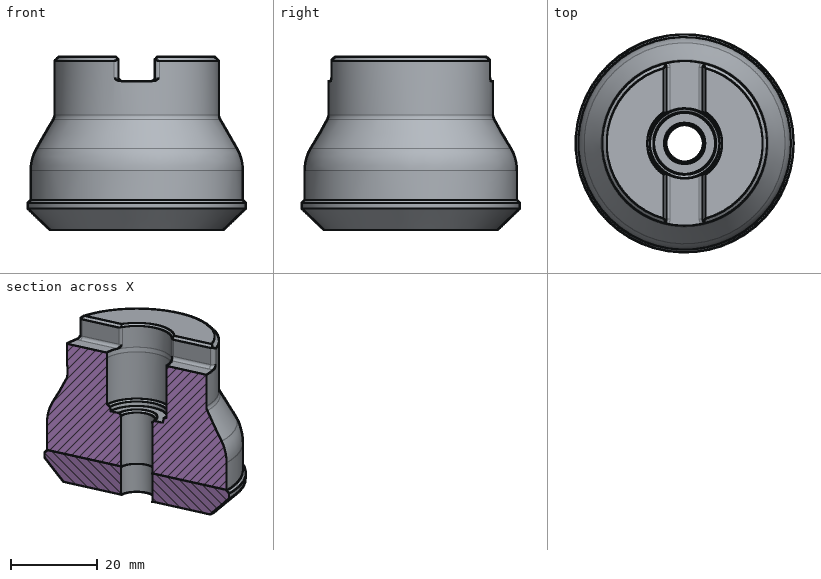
import cadquery as cq
import math

height = 40.0
rim_bottom = 5.0
rim_top = 6.3

rim_radius = 25.15
base_radius = 20.0
body_radius = 49.0 / 2
neck_radius = 38.0 / 2

rim_chamfer = rim_radius - body_radius
shoulder_start = 13.8
shoulder_round = 10.0
cone_angle = math.radians(30)
neck_round = 2.0
top_chamfer = 1.0

slot_width = 8.3
slot_depth = 5.65
slot_floor = height - slot_depth
slot_chamfer = 0.7
slot_round = 0.8
corner_round = 0.85
flare_exit = 2.0
match_tolerance = 0.005

mouth_radius = 16.2 / 2
mouth_chamfer = 0.55
bore_radius = 16.0 / 2
bore_taper_top = slot_floor - 0.15
bore_taper_length = 1.1
seat_height = 20.15
seat_radius = 14.1 / 2
seat_taper_length = 1.0
seat_rim_radius = 7.25
seat_slope = math.radians(30)
seat_rim_height = seat_height + seat_taper_length
bore_bottom = seat_rim_height + (bore_radius - seat_rim_radius) * math.tan(seat_slope)
through_radius = 8.4 / 2
through_chamfer = 0.55

joint_height = rim_top + rim_chamfer


def housing_blank():
    """Revolve the housing profile, with tangent rounds at both ends of the cone."""

    def drop(angle):
        """Radial change along a tangent arc of unit radius."""
        return 1 - math.cos(angle)

    cone_low_r = body_radius - shoulder_round * drop(cone_angle)
    cone_low_z = shoulder_start + shoulder_round * math.sin(cone_angle)
    cone_high_r = neck_radius + neck_round * drop(cone_angle)
    cone_high_z = cone_low_z + (cone_low_r - cone_high_r) / math.tan(cone_angle)
    neck_start = cone_high_z + neck_round * math.sin(cone_angle)
    half = cone_angle / 2
    shoulder_mid = (
        body_radius - shoulder_round * drop(half),
        shoulder_start + shoulder_round * math.sin(half),
    )
    neck_mid = (
        neck_radius + neck_round * drop(half),
        neck_start - neck_round * math.sin(half),
    )
    return (
        cq.Workplane("XZ")
        .moveTo(0, joint_height)
        .lineTo(body_radius, joint_height)
        .lineTo(body_radius, shoulder_start)
        .threePointArc(shoulder_mid, (cone_low_r, cone_low_z))
        .lineTo(cone_high_r, cone_high_z)
        .threePointArc(neck_mid, (neck_radius, neck_start))
        .lineTo(neck_radius, height - top_chamfer)
        .lineTo(neck_radius - top_chamfer, height)
        .lineTo(0, height)
        .close()
        .revolve(360, (0, 0, 0), (0, 1, 0))
    )


def stepped_bore():
    """Bore with a chamfered mouth, a slight taper and a conical seat above the through hole."""
    return (
        cq.Workplane("XZ")
        .lineTo(through_radius, 0)
        .lineTo(through_radius, seat_height - through_chamfer)
        .lineTo(through_radius + through_chamfer, seat_height)
        .lineTo(seat_radius, seat_height)
        .lineTo(seat_rim_radius, seat_rim_height)
        .lineTo(bore_radius, bore_bottom)
        .lineTo(bore_radius, bore_taper_top - bore_taper_length)
        .lineTo(mouth_radius, bore_taper_top)
        .lineTo(mouth_radius, height - mouth_chamfer)
        .lineTo(mouth_radius + mouth_chamfer, height)
        .lineTo(0, height)
        .close()
        .revolve(360, (0, 0, 0), (0, 1, 0))
    )


def wall_end(cylinder_radius, round_center_radius):
    """Start, middle and end of the arc that rounds a slot wall into a cylinder."""
    wall = slot_width / 2
    center_x = wall + corner_round
    center_y = math.sqrt(round_center_radius**2 - center_x**2)
    touch_x = center_x * cylinder_radius / round_center_radius
    touch_y = center_y * cylinder_radius / round_center_radius
    along_x = (touch_x + wall) / 2 - center_x
    along_y = (touch_y + center_y) / 2 - center_y
    reach = corner_round / math.hypot(along_x, along_y)
    middle = (center_x + along_x * reach, center_y + along_y * reach)
    return (wall, center_y), middle, (touch_x, touch_y)


def slot_channel():
    """Slot along Y that flares at the neck and the bore, with a rounded foot all along."""
    outer = wall_end(neck_radius, neck_radius - corner_round)
    inner = wall_end(mouth_radius, mouth_radius + corner_round)
    touch_x, touch_y = outer[2]
    exit_x = touch_x + flare_exit
    exit_y = touch_y - flare_exit * touch_x / touch_y
    outside = 2 * neck_radius

    def place(point, side, end):
        """Mirror a point of the (+X, +Y) quarter into another quarter."""
        return (side * point[0], end * point[1])

    outline = cq.Workplane("XY", origin=(0, 0, slot_floor)).moveTo(exit_x, outside)
    for side, end in ((1, 1), (-1, -1)):
        near_out = [place(p, side, end) for p in outer]
        near_in = [place(p, side, end) for p in inner]
        far_out = [place(p, side, -end) for p in outer]
        far_in = [place(p, side, -end) for p in inner]
        outline = (
            outline
            .lineTo(side * exit_x, end * exit_y)
            .lineTo(*near_out[2])
            .threePointArc(near_out[1], near_out[0])
            .lineTo(*near_in[0])
            .threePointArc(near_in[1], near_in[2])
            .lineTo(*far_in[2])
            .threePointArc(far_in[1], far_in[0])
            .lineTo(*far_out[0])
            .threePointArc(far_out[1], far_out[2])
            .lineTo(side * exit_x, -end * exit_y)
            .lineTo(side * exit_x, -end * outside)
            .lineTo(-side * exit_x, -end * outside)
        )
    channel = outline.close().extrude(slot_depth)
    feet = channel.faces("<Z").edges("|Y").filter(is_wall_foot)
    return channel.newObject(feet.vals()).fillet(slot_round)


def is_wall_foot(edge):
    """True for the straight foot of a slot wall."""
    return abs(abs(edge.Center().x) - slot_width / 2) < match_tolerance


def slot_flare():
    """Wedge along Y that chamfers the top edges of the slot."""
    half = slot_width / 2
    return (
        cq.Workplane("XZ", origin=(0, rim_radius, 0))
        .moveTo(-half, height - slot_chamfer)
        .lineTo(half, height - slot_chamfer)
        .lineTo(half + slot_chamfer, height)
        .lineTo(-half - slot_chamfer, height)
        .close()
        .extrude(2 * rim_radius)
    )


def make_housing():
    """Housing with its stepped bore and driving slot."""
    return housing_blank().cut(slot_channel()).cut(slot_flare()).cut(stepped_bore())


def make_cutting_ring():
    """Bevelled ring below the housing, with the through hole continued."""
    return (
        cq.Workplane("XZ")
        .moveTo(through_radius, 0)
        .lineTo(base_radius, 0)
        .lineTo(rim_radius, rim_bottom)
        .lineTo(rim_radius, rim_top)
        .lineTo(body_radius, joint_height)
        .lineTo(through_radius, joint_height)
        .close()
        .revolve(360, (0, 0, 0), (0, 1, 0))
    )


housing = make_housing()
cutting_ring = make_cutting_ring()
result = cq.Compound.makeCompound([housing.solids().val(), cutting_ring.val()])